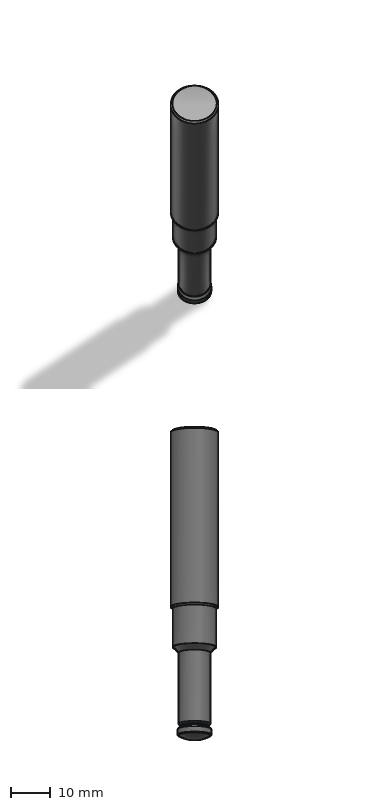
import cadquery as cq
import math

total_length = 79.0
barrel_diameter = 12.0
nose_diameter = 11.0
rod_diameter = 8.05
neck_diameter = 6.4
cap_diameter = 8.5

barrel_bottom = 34.0
nose_bottom = 23.7
cone_bottom = 22.3
rod_chamfer_top = 4.1
cap_top = 3.3
cap_rim_bottom = 1.35

barrel_chamfer = 0.5
flare_width = 0.2
flare_height = 0.5
cone_top_diameter = 10.5
rod_chamfer_width = 0.55
rod_chamfer_height = 0.4
cap_top_chamfer = 0.6
cap_bottom_chamfer = 0.2

barrel_radius = barrel_diameter / 2
nose_radius = nose_diameter / 2
cone_top_radius = cone_top_diameter / 2
rod_radius = rod_diameter / 2
neck_radius = neck_diameter / 2
cap_radius = cap_diameter / 2
rod_end = rod_chamfer_top - rod_chamfer_height
bore_top = barrel_bottom


def revolve_profile(profile):
    """Turn a closed half section (radius, height) about the Z axis."""
    return profile.close().revolve(360, (0, 0), (0, 1))


def make_housing():
    """Barrel with a narrower nose, a conical end and a blind bore for the rod."""
    return revolve_profile(
        cq.Workplane("XZ")
        .moveTo(rod_radius, cone_bottom)
        .lineTo(cone_top_radius, nose_bottom)
        .lineTo(nose_radius, nose_bottom)
        .lineTo(nose_radius, barrel_bottom - flare_height)
        .lineTo(nose_radius + flare_width, barrel_bottom)
        .lineTo(barrel_radius, barrel_bottom)
        .lineTo(barrel_radius, total_length - barrel_chamfer)
        .lineTo(barrel_radius - barrel_chamfer, total_length)
        .lineTo(0, total_length)
        .lineTo(0, bore_top)
        .lineTo(rod_radius, bore_top)
    )


def make_rod():
    """Plain rod that fills the bore and has a chamfered lower end."""
    return revolve_profile(
        cq.Workplane("XZ")
        .moveTo(0, rod_end)
        .lineTo(rod_radius - rod_chamfer_width, rod_end)
        .lineTo(rod_radius, rod_chamfer_top)
        .lineTo(rod_radius, bore_top)
        .lineTo(0, bore_top)
    )


def make_cap():
    """Domed cap with a chamfered rim and a neck that meets the end of the rod."""
    dome_radius = cap_radius - cap_bottom_chamfer
    dome_height = cap_rim_bottom - cap_bottom_chamfer
    sphere_radius = (dome_radius**2 + dome_height**2) / (2 * dome_height)
    mid_radius = dome_radius / 2
    mid_level = sphere_radius - math.sqrt(sphere_radius**2 - mid_radius**2)
    return revolve_profile(
        cq.Workplane("XZ")
        .moveTo(0, 0)
        .threePointArc((mid_radius, mid_level), (dome_radius, dome_height))
        .lineTo(cap_radius, cap_rim_bottom)
        .lineTo(cap_radius, cap_top - cap_top_chamfer)
        .lineTo(cap_radius - cap_top_chamfer, cap_top)
        .lineTo(neck_radius, cap_top)
        .lineTo(neck_radius, rod_end)
        .lineTo(0, rod_end)
    )


housing = make_housing()
rod = make_rod()
cap = make_cap()

result = cq.Compound.makeCompound([housing.val(), rod.val(), cap.val()])